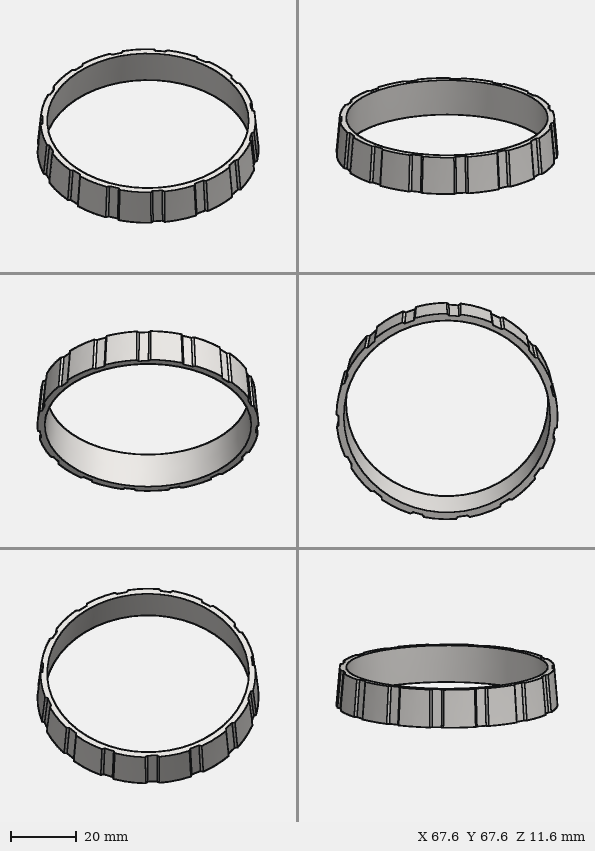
import cadquery as cq

base_radius = 33.8
top_radius = 32.8
base_bore_radius = 31.5
top_bore_radius = 30.75
height = 11.6

groove_count = 15
first_groove_angle = 15.4
groove_depth = 0.7
groove_mouth_width = 4.4
groove_floor_width = 2.9
cutter_overshoot = 0.7


def groove_section(outer_radius):
    """Corners of a groove centred on +X, widening outward from its floor."""
    flank_slope = (groove_mouth_width - groove_floor_width) / (2 * groove_depth)
    floor_x = outer_radius - groove_depth
    outer_x = outer_radius + cutter_overshoot
    floor_half = groove_floor_width / 2
    outer_half = groove_mouth_width / 2 + flank_slope * cutter_overshoot
    return [
        (floor_x, -floor_half),
        (outer_x, -outer_half),
        (outer_x, outer_half),
        (floor_x, floor_half),
    ]


def make_ring():
    profile = [
        (base_bore_radius, 0),
        (base_radius, 0),
        (top_radius, height),
        (top_bore_radius, height),
    ]
    return cq.Workplane("XZ").polyline(profile).close().revolve(360, (0, 0), (0, 1))


def make_groove_cutter():
    return (
        cq.Workplane("XY")
        .polyline(groove_section(base_radius))
        .close()
        .workplane(offset=height)
        .polyline(groove_section(top_radius))
        .close()
        .loft(ruled=True)
    )


result = make_ring()
groove_cutter = make_groove_cutter()
groove_pitch = 360 / groove_count
for index in range(groove_count):
    angle = first_groove_angle + index * groove_pitch
    result = result.cut(groove_cutter.rotate((0, 0, 0), (0, 0, 1), angle))